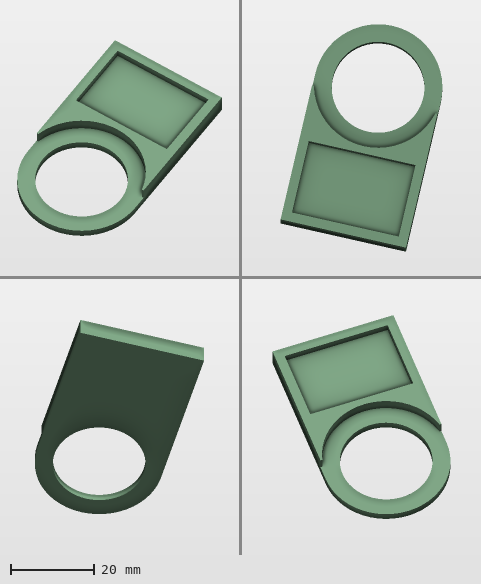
import cadquery as cq

width = 31.0
length = 53.0
thickness = 5.0
end_radius = width / 2
back_y = length - end_radius

ring_thickness = 2.0
hole_diameter = 22.35
step_y = 3.7
recess_radius = 15.5

pocket_width = 26.4
pocket_length = 18.0
pocket_depth = 2.0
back_margin = 2.3


def block(y_front, y_back, height):
    """Full-width block standing on the bottom plane."""
    return (
        cq.Workplane("XY")
        .center(0, (y_front + y_back) / 2)
        .rect(width, y_back - y_front)
        .extrude(height)
    )


def disc(radius, bottom, height):
    """Disc on the ring axis."""
    return cq.Workplane("XY").workplane(offset=bottom).circle(radius).extrude(height)


base = block(0, back_y, ring_thickness).union(disc(end_radius, 0, ring_thickness))

label_block = block(step_y, back_y, thickness)
recess = disc(recess_radius, ring_thickness, thickness - ring_thickness)
body = base.union(label_block).cut(recess)

pocket = (
    cq.Workplane("XY")
    .workplane(offset=thickness - pocket_depth)
    .center(0, back_y - back_margin - pocket_length / 2)
    .rect(pocket_width, pocket_length)
    .extrude(pocket_depth)
)

hole = disc(hole_diameter / 2, 0, ring_thickness)

result = body.cut(pocket).cut(hole)